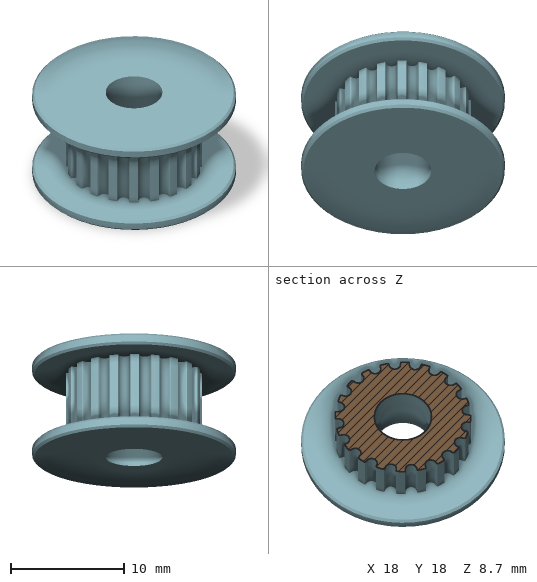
import cadquery as cq
import math

flange_diameter = 18.0
total_height = 8.7
bore_diameter = 5.0

flange_thickness = 1.0
flange_chamfer = 0.2

drum_diameter = 12.0
drum_radius = drum_diameter / 2
drum_height = total_height - 2 * flange_thickness
tooth_count = 20
tooth_pitch_angle = 360 / tooth_count

groove_depth = 0.72
groove_mouth_half_width = 0.55
lip_half_width = 0.52
lip_depth = 0.099
groove_floor_half_width = 0.49
groove_wall_depth = 0.25


def make_flange(base_height):
    """Disc with both rims chamfered, resting at the given height."""
    return (
        cq.Workplane("XY")
        .workplane(offset=base_height)
        .circle(flange_diameter / 2)
        .extrude(flange_thickness)
        .edges()
        .chamfer(flange_chamfer)
    )


def make_groove():
    """Cutter for one tooth groove, centred on the +X axis."""
    mouth_radius = math.sqrt(drum_radius**2 - groove_mouth_half_width**2)
    lip_radius = drum_radius - lip_depth
    wall_end_radius = drum_radius - groove_wall_depth
    outside_radius = drum_radius + groove_depth
    return (
        cq.Workplane("XY")
        .workplane(offset=flange_thickness)
        .moveTo(outside_radius, -groove_mouth_half_width)
        .lineTo(mouth_radius, -groove_mouth_half_width)
        .lineTo(lip_radius, -lip_half_width)
        .lineTo(wall_end_radius, -groove_floor_half_width)
        .threePointArc(
            (drum_radius - groove_depth, 0),
            (wall_end_radius, groove_floor_half_width),
        )
        .lineTo(lip_radius, lip_half_width)
        .lineTo(mouth_radius, groove_mouth_half_width)
        .lineTo(outside_radius, groove_mouth_half_width)
        .close()
        .extrude(drum_height)
    )


def make_drum():
    """Cylinder with evenly spaced tooth grooves along its full height."""
    drum = (
        cq.Workplane("XY")
        .workplane(offset=flange_thickness)
        .circle(drum_radius)
        .extrude(drum_height)
    )
    groove = make_groove()
    for index in range(tooth_count):
        angle = index * tooth_pitch_angle
        drum = drum.cut(groove.rotate((0, 0, 0), (0, 0, 1), angle))
    return drum


lower_flange = make_flange(0)
upper_flange = make_flange(total_height - flange_thickness)
bore = cq.Workplane("XY").circle(bore_diameter / 2).extrude(total_height)

result = make_drum().union(lower_flange).union(upper_flange).cut(bore)